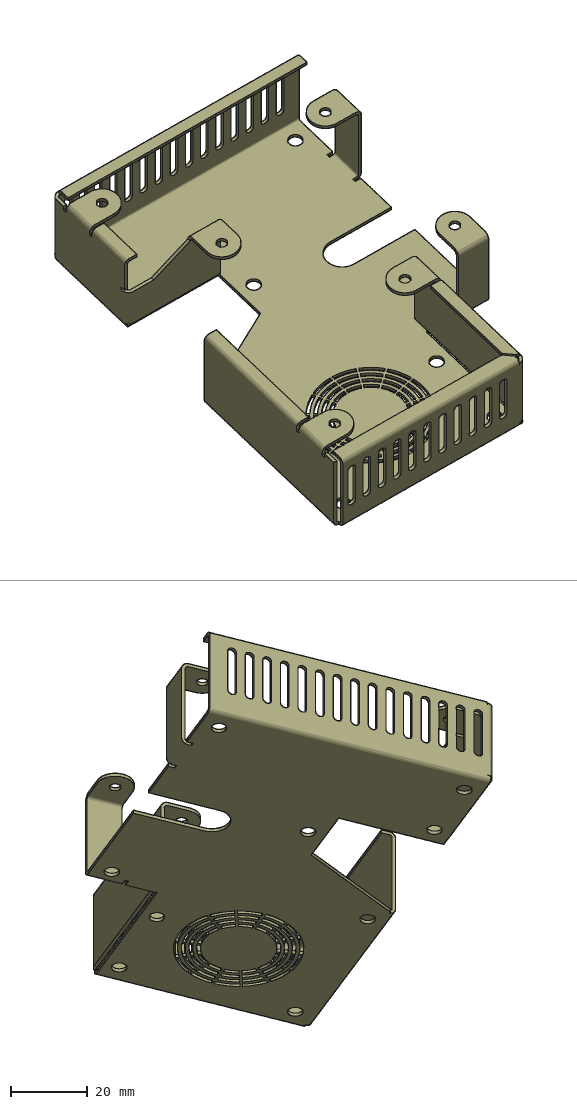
import cadquery as cq
import math

LENGTH = 122.0
DEPTH = 82.0
HEIGHT = 26.0

SHEET = 1.0
BEND = 1.7
TAB_BEND = 2.1
CORNER_BEND = 2.1
RELIEF = 1.0

BACK_EDGE = DEPTH - SHEET
INNER_BACK = 62.1
STEP_X = 81.9
BACK_WALL_START = 75.9
RETURN_X = 31.1
RETURN_AXIS_X = RETURN_X + SHEET - CORNER_BEND
RETURN_END = 30.9
FRONT_WALL_START = 65.0
FRONT_WALL_END = LENGTH - BEND

SHOULDER = 23.4
STUB_TOP = 24.8
RETURN_LOW = 13.8
RETURN_TAB_TOP = 22.8
RETURN_SLOPE = math.radians(30)

SIDE_LIP = 4.3
FRONT_LIP = 4.0
MITRE_GAP = 0.6

TAB_WIDTH = 10.0
TAB_REACH = 13.0
TAB_HOLE = 3.0
FLOOR_HOLE = 4.0
FOOT_REACH = 2.8

LEFT_TAB = 6.1
RIGHT_TAB = 105.3
REAR_TAB = 16.2
INNER_BACK_TAB = BACK_WALL_START
STEP_TAB = BACK_EDGE - TAB_WIDTH
RETURN_TAB = RETURN_END - TAB_WIDTH

NOTCH_X = 45.3
NOTCH_WIDTH = 10.0
NOTCH_BOTTOM = 55.9

SLANT_START = 49.2
SLANT_END = 64.7

FLOOR_HOLES = [
    (6.1, 75.8), (76.9, 75.6), (40.0, 35.7), (6.3, 5.9), (26.0, 5.9),
    (69.9, 5.9), (90.9, 56.7), (115.7, 56.7), (115.8, 6.6),
]

FAN_X = 95.5
FAN_Y = 31.5
FAN_INNER = 10.0
FAN_OPENING = 1.0
FAN_PITCH = 2 * FAN_OPENING
FAN_RINGS = 4
FAN_SPOKES = 14
SPOKE_WIDTH = 0.7

VENT_WIDTH = 2.5
VENT_HEIGHT = 14.8
VENT_PITCH = 5.0
VENT_FIRST = 4.6
VENT_Z = 14.5
LEFT_VENTS = 15
RIGHT_VENTS = 11


def block(x0, x1, y0, y1, z0, z1):
    """Box between two opposite corners."""
    return cq.Workplane("XY").box(x1 - x0, y1 - y0, z1 - z0, centered=False).translate((x0, y0, z0))


def fold(plane, start, end, top, reach, radius, bottom):
    """Upright sheet from bottom to top, folded over at the top.

    The plane's x axis points along the fold and its y axis points up.
    """
    inner = radius - SHEET
    return (
        cq.Workplane(plane)
        .workplane(offset=start)
        .moveTo(0, bottom)
        .lineTo(0, top - radius)
        .radiusArc((radius, top), radius)
        .lineTo(reach, top)
        .lineTo(reach, top - SHEET)
        .lineTo(radius, top - SHEET)
        .radiusArc((SHEET, top - radius), -inner)
        .lineTo(SHEET, bottom)
        .close()
        .extrude(end - start)
    )


def foot(plane, start, end):
    """Bend that carries the floor sheet up into a wall."""
    inner = BEND - SHEET
    return (
        cq.Workplane(plane)
        .workplane(offset=start)
        .moveTo(0, BEND)
        .radiusArc((BEND, 0), -BEND)
        .lineTo(FOOT_REACH, 0)
        .lineTo(FOOT_REACH, SHEET)
        .lineTo(BEND, SHEET)
        .radiusArc((SHEET, BEND), inner)
        .close()
        .extrude(end - start)
    )


def tab(plane, start, top, bottom):
    """Screw tab folded over from an upright strip, with a round end and a hole."""
    end_radius = TAB_WIDTH / 2
    middle = start + end_radius
    centre = TAB_REACH - end_radius
    strip = fold(plane, start, start + TAB_WIDTH, top, centre, TAB_BEND, bottom)
    top_plane = cq.Plane(plane.toWorldCoords((0, top, 0)), plane.xDir, (0, 0, -1))
    seat = cq.Workplane(top_plane).center(centre, middle)
    round_end = seat.circle(end_radius).extrude(SHEET)
    hole = seat.circle(TAB_HOLE / 2).extrude(SHEET)
    return strip.union(round_end).cut(hole)


def upright_bend(x, y, angle, z0, z1):
    """Quarter-round corner whose bend axis is at (x, y), turned by angle about it."""
    inner = CORNER_BEND - SHEET
    return (
        cq.Workplane("XY")
        .moveTo(inner, 0)
        .lineTo(CORNER_BEND, 0)
        .radiusArc((0, CORNER_BEND), -CORNER_BEND)
        .lineTo(0, inner)
        .radiusArc((inner, 0), inner)
        .close()
        .extrude(z1 - z0)
        .rotate((0, 0, 0), (0, 0, 1), angle)
        .translate((x, y, z0))
    )


FRONT = cq.Plane((0, 0, 0), (0, 1, 0), (1, 0, 0))
LEFT = cq.Plane((0, 0, 0), (1, 0, 0), (0, -1, 0))
RIGHT = cq.Plane((LENGTH, 0, 0), (-1, 0, 0), (0, 1, 0))
REAR = cq.Plane((0, DEPTH, 0), (0, -1, 0), (-1, 0, 0))
INNER_REAR = cq.Plane((0, INNER_BACK, 0), (0, -1, 0), (-1, 0, 0))
STEP = cq.Plane((STEP_X, 0, 0), (-1, 0, 0), (0, 1, 0))
RETURN = cq.Plane((RETURN_X, 0, 0), (1, 0, 0), (0, -1, 0))


def floor():
    """Floor sheet with its cable notch, bend reliefs, holes and fan grille."""
    outline = [
        (BEND, SHEET),
        (RETURN_X, SHEET),
        (RETURN_X, RETURN_END),
        (SLANT_START, RETURN_END),
        (SLANT_END, BEND),
        (LENGTH - BEND, BEND),
        (LENGTH - BEND, INNER_BACK - SHEET),
        (STEP_X - SHEET, INNER_BACK - SHEET),
        (STEP_X - SHEET, BACK_EDGE),
        (BEND, BACK_EDGE),
    ]
    plate = cq.Workplane("XY").polyline(outline).close().extrude(SHEET)
    notch_radius = NOTCH_WIDTH / 2
    notch_centre = NOTCH_BOTTOM + notch_radius
    notch = block(NOTCH_X - notch_radius, NOTCH_X + notch_radius, notch_centre, DEPTH, 0, SHEET)
    notch_end = cq.Workplane("XY").center(NOTCH_X, notch_centre).circle(notch_radius).extrude(SHEET)
    rear_relief = block(
        REAR_TAB - RELIEF, REAR_TAB + TAB_WIDTH + RELIEF, DEPTH - FOOT_REACH, DEPTH, 0, SHEET
    )
    step_relief = block(STEP_X - FOOT_REACH, STEP_X, STEP_TAB - RELIEF, BACK_EDGE, 0, SHEET)
    holes = cq.Workplane("XY").pushPoints(FLOOR_HOLES).circle(FLOOR_HOLE / 2).extrude(SHEET)
    for opening in (notch, notch_end, rear_relief, step_relief, holes, fan_openings()):
        plate = plate.cut(opening)
    return plate


def fan_openings():
    """Concentric ring openings, parted by straight radial spokes."""
    rings = cq.Workplane("XY")
    for index in range(FAN_RINGS):
        inner = FAN_INNER + index * FAN_PITCH
        rings = rings.add(
            cq.Workplane("XY").circle(inner + FAN_OPENING).circle(inner).extrude(SHEET)
        )
    rings = rings.combine()
    reach = FAN_INNER + FAN_RINGS * FAN_PITCH
    for index in range(FAN_SPOKES):
        spoke = block(0, reach, -SPOKE_WIDTH / 2, SPOKE_WIDTH / 2, 0, SHEET)
        rings = rings.cut(spoke.rotate((0, 0, 0), (0, 0, 1), index * 360 / FAN_SPOKES))
    return rings.translate((FAN_X, FAN_Y, 0))


def vents(x, count):
    """Row of upright slots through a side wall whose left face is at x."""
    return (
        cq.Workplane("YZ", origin=(x, 0, 0))
        .pushPoints([(VENT_FIRST + i * VENT_PITCH, VENT_Z) for i in range(count)])
        .slot2D(VENT_HEIGHT, VENT_WIDTH, 90)
        .extrude(SHEET)
    )


def left_wall():
    """Slotted wall with a lip, folded up along the left edge."""
    base = foot(LEFT, -BACK_EDGE, -SHEET)
    wall = fold(LEFT, -BACK_EDGE, -CORNER_BEND, HEIGHT, SIDE_LIP, BEND, BEND)
    return base.union(wall).cut(vents(0, LEFT_VENTS))


def front_left_wall():
    """Wall turned from the left wall, held clear of the floor."""
    corner = upright_bend(CORNER_BEND, CORNER_BEND, 180, BEND, STUB_TOP)
    tab_end = LEFT_TAB + TAB_WIDTH
    wall = block(CORNER_BEND, RETURN_X, 0, SHEET, BEND, SHOULDER)
    stub = block(CORNER_BEND, LEFT_TAB - RELIEF, 0, SHEET, SHOULDER, STUB_TOP)
    lip = fold(FRONT, tab_end + RELIEF, RETURN_X, HEIGHT, FRONT_LIP, BEND, SHOULDER)
    clearance = block(RETURN_AXIS_X, RETURN_X, 0, SHEET, BEND, RETURN_LOW)
    relief = (
        cq.Workplane("XZ")
        .center(RETURN_X, RETURN_LOW + RELIEF / 2)
        .slot2D(2 * (RETURN_X - RETURN_AXIS_X) + RELIEF, RELIEF)
        .extrude(-SHEET)
    )
    wall = wall.cut(clearance).cut(relief)
    return wall.union(corner).union(stub).union(lip).union(tab(FRONT, LEFT_TAB, HEIGHT, SHOULDER))


def return_wall():
    """Low wall turned back from the front, rising on a slope to an inward screw tab."""
    corner = upright_bend(RETURN_AXIS_X, CORNER_BEND, 270, BEND, RETURN_LOW)
    tab_root = RETURN_TAB_TOP - TAB_BEND
    slope_start = RETURN_TAB - (tab_root - RETURN_LOW) / math.tan(RETURN_SLOPE)
    wall = (
        cq.Workplane("YZ", origin=(RETURN_X, 0, 0))
        .polyline([
            (CORNER_BEND, BEND),
            (RETURN_END, BEND),
            (RETURN_END, tab_root),
            (RETURN_TAB, tab_root),
            (slope_start, RETURN_LOW),
            (CORNER_BEND, RETURN_LOW),
        ])
        .close()
        .extrude(SHEET)
    )
    return wall.union(corner).union(tab(RETURN, -RETURN_END, RETURN_TAB_TOP, RETURN_LOW))


def front_right_wall():
    """Wall with a lip and a tab, folded up from the floor."""
    tab_end = RIGHT_TAB + TAB_WIDTH
    base = foot(FRONT, FRONT_WALL_START, FRONT_WALL_END)
    wall = block(FRONT_WALL_START, FRONT_WALL_END, 0, SHEET, BEND, SHOULDER)
    lip = fold(FRONT, FRONT_WALL_START, RIGHT_TAB - RELIEF, HEIGHT, FRONT_LIP, BEND, SHOULDER)
    stub = block(tab_end + RELIEF, FRONT_WALL_END, 0, SHEET, SHOULDER, STUB_TOP)
    return wall.union(base).union(lip).union(stub).union(tab(FRONT, RIGHT_TAB, HEIGHT, SHOULDER))


def right_and_inner_back_walls():
    """Slotted right wall and the rear wall turned from it, held clear of the floor."""
    right_end = INNER_BACK - CORNER_BEND
    back_end = LENGTH - CORNER_BEND
    tab_end = INNER_BACK_TAB + TAB_WIDTH
    base = foot(RIGHT, BEND, INNER_BACK - SHEET)
    right = fold(RIGHT, BEND, right_end, HEIGHT, SIDE_LIP, BEND, BEND)
    corner = upright_bend(back_end, right_end, 0, BEND, STUB_TOP)
    back = block(BACK_WALL_START, back_end, INNER_BACK - SHEET, INNER_BACK, BEND, SHOULDER)
    back_lip = fold(INNER_REAR, -back_end, -tab_end - RELIEF, HEIGHT, SIDE_LIP, BEND, SHOULDER)
    lips = right.union(back_lip)
    gap = block(-SIDE_LIP, SIDE_LIP, -MITRE_GAP / 2, MITRE_GAP / 2, HEIGHT - SHEET, HEIGHT)
    gap = gap.rotate((0, 0, 0), (0, 0, 1), 45).translate((back_end, right_end, 0))
    walls = lips.cut(gap).union(base).union(corner).union(back)
    walls = walls.union(tab(INNER_REAR, -tab_end, HEIGHT, SHOULDER))
    return walls.cut(vents(LENGTH - SHEET, RIGHT_VENTS))


def free_standing_tab(plane, start):
    """Screw tab on a full-height strip folded up from the floor."""
    strip = foot(plane, start, start + TAB_WIDTH)
    return strip.union(tab(plane, start, HEIGHT, BEND))


result = (
    floor()
    .union(left_wall())
    .union(front_left_wall())
    .union(return_wall())
    .union(front_right_wall())
    .union(right_and_inner_back_walls())
    .union(free_standing_tab(REAR, -REAR_TAB - TAB_WIDTH))
    .union(free_standing_tab(STEP, STEP_TAB))
)